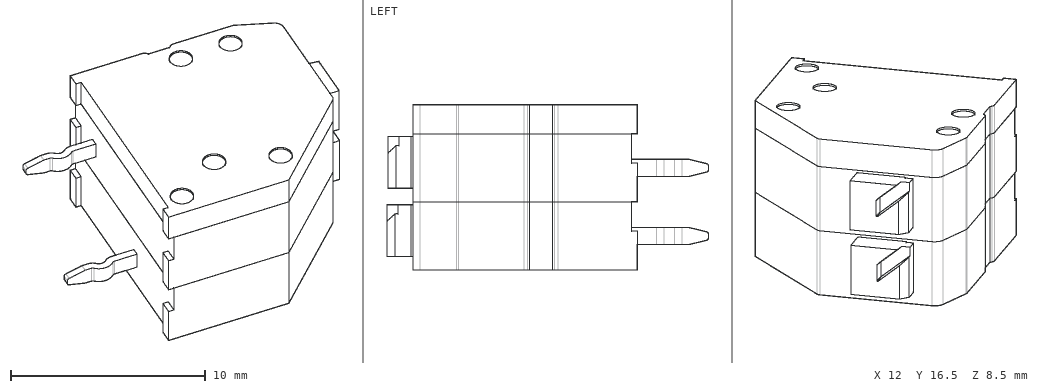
import cadquery as cq
import math

width = 12.0
depth = 11.52
module_height = 3.5
plate_height = 1.5
module_count = 2
total_height = module_count * module_height + plate_height

foot_length = 0.3
foot_width = 0.7
foot_height = 2.0

slant_start = 9.22
slant_angle = 20.0
slant_radius = 0.53
slant_root_radius = 0.3
chamfer_size = 4.72
chamfer_radius = 0.23

groove_start = 4.19
groove_end = 5.71
groove_depth = 0.16
groove_edge_radius = 0.25

dimple_diameter = 1.2
dimple_depth = 0.1
dimple_centres = [(1.19, 8.51), (1.19, 5.71), (10.1, 7.21), (9.1, 3.91), (10.8, 1.3)]

pin_left = 2.08
pin_stagger = 5.03
pin_thickness = 0.4
pin_width = 0.89
pin_end = -3.65
kink_centre = -1.63
kink_inner_radius = 0.38
kink_bend_radius = 0.56
kink_angle = 44.0
tip_length = 1.0
tip_width = 0.4
tip_radius = 0.13

button_left = 2.2
button_width = 3.0
button_height = 2.67
button_bottom = 0.7
button_length = 1.29
button_gap = 0.1
button_lip = 0.41
button_chamfer = 0.41
lower_button_shift = 0.05

slot_length = 0.58
slot_angle = 40.0
slot_mouth = 0.46
slot_top_run = 0.45
slot_reach = 1.57
slot_draft = 4.0


def make_slab(bottom, height, foot_rise):
    """One layer of the housing with its two feet rising foot_rise from its lower face."""
    slant_run = (depth - slant_start) * math.tan(math.radians(slant_angle))
    outline = [
        (0, foot_length),
        (0, groove_start),
        (groove_depth, groove_start + groove_depth),
        (groove_depth, groove_end - groove_depth),
        (0, groove_end),
        (0, slant_start),
        (slant_run, depth),
        (width - chamfer_size, depth),
        (width, depth - chamfer_size),
        (width, foot_length),
    ]
    slab = cq.Workplane("XY", origin=(0, 0, bottom)).polyline(outline).close().extrude(height)

    def upright_edge(x, y):
        return cq.selectors.NearestToPointSelector((x, y, bottom + height / 2))

    slab = slab.edges(upright_edge(0, groove_start)).fillet(groove_edge_radius)
    slab = slab.edges(upright_edge(0, groove_end)).fillet(groove_edge_radius)
    slab = slab.edges(upright_edge(0, slant_start)).fillet(slant_root_radius)
    slab = slab.edges(upright_edge(slant_run, depth)).fillet(slant_radius)
    slab = slab.edges(upright_edge(width - chamfer_size, depth)).fillet(chamfer_radius)
    for x in (0, width - foot_width):
        foot = cq.Workplane("XY").box(foot_width, foot_length, foot_rise, centered=False)
        slab = slab.union(foot.translate((x, 0, bottom)))
    return slab


def make_end_plate():
    """Top layer of the housing, with feet over its full height and dimples in its top."""
    plate = make_slab(module_count * module_height, plate_height, plate_height)
    dimples = (
        cq.Workplane("XY", origin=(0, 0, total_height))
        .pushPoints(dimple_centres)
        .circle(dimple_diameter / 2)
        .extrude(-dimple_depth)
    )
    return plate.cut(dimples)


def kink_side(offset):
    """Points of one side of the kink, offset sideways from the strip's left side."""
    angle = math.radians(kink_angle)
    inner = kink_inner_radius + offset
    bend = kink_bend_radius - offset
    sine = math.sin(angle)
    cosine = math.cos(angle)
    half_sine = math.sin(angle / 2)
    half_cosine = math.cos(angle / 2)
    reach = (inner + bend) * sine
    bulge = (inner + bend) * (1 - cosine)
    return [
        (offset, reach),
        (offset + bend * (1 - half_cosine), reach - bend * half_sine),
        (offset + bend * (1 - cosine), inner * sine),
        (offset + bulge, 0),
        (offset + bend * (1 - cosine), -inner * sine),
        (offset + bend * (1 - half_cosine), -reach + bend * half_sine),
        (offset, -reach),
    ]


def make_pin(index):
    """Solder pin of one module, rooted in the face between the feet."""
    left = kink_side(0)
    right = kink_side(pin_thickness)
    end = pin_end - kink_centre
    strip = (
        cq.Workplane("XY", origin=(0, kink_centre, -pin_width / 2))
        .moveTo(0, foot_length - kink_centre)
        .lineTo(*left[0])
        .threePointArc(left[1], left[2])
        .threePointArc(left[3], left[4])
        .threePointArc(left[5], left[6])
        .lineTo(0, end)
        .lineTo(pin_thickness, end)
        .lineTo(*right[6])
        .threePointArc(right[5], right[4])
        .threePointArc(right[3], right[2])
        .threePointArc(right[1], right[0])
        .lineTo(pin_thickness, foot_length - kink_centre)
        .close()
        .extrude(pin_width)
    )
    kink_bulge = right[3][0]
    blade = (
        cq.Workplane("YZ")
        .polyline([
            (foot_length, -pin_width / 2),
            (foot_length, pin_width / 2),
            (pin_end + tip_length, pin_width / 2),
            (pin_end, tip_width / 2),
            (pin_end, -tip_width / 2),
            (pin_end + tip_length, -pin_width / 2),
        ])
        .close()
        .extrude(kink_bulge)
        .faces("<Y").edges("|X").fillet(tip_radius)
    )
    x = pin_left + (module_count - 1 - index) * pin_stagger
    z = (index + 0.5) * module_height
    return strip.intersect(blade).translate((x, 0, z))


def make_module(index):
    """Housing module with its solder pin in one piece."""
    return make_slab(index * module_height, module_height, foot_height).union(make_pin(index))


def make_button(index):
    """Push button standing on the back face of one module."""
    shift = (module_count - 1 - index) * lower_button_shift
    length = button_length + shift
    body = (
        cq.Workplane("XY")
        .polyline([
            (button_lip, 0),
            (button_width, 0),
            (button_width, length),
            (button_chamfer, length),
            (0, length - button_chamfer),
            (0, button_gap),
            (button_lip, button_gap),
        ])
        .close()
        .extrude(button_height)
    )
    fall = math.tan(math.radians(slot_angle))
    slot = (
        cq.Workplane("XZ", origin=(0, length - slot_length, button_height))
        .polyline([
            (-slot_top_run, 2 * slot_top_run * fall),
            (slot_reach, (slot_top_run - slot_reach) * fall),
            (slot_reach, -slot_mouth - slot_reach * fall),
            (-slot_top_run, -slot_mouth + slot_top_run * fall),
        ])
        .close()
        .extrude(-2 * slot_length, taper=-slot_draft)
    )
    place = (button_left - shift, depth, index * module_height + button_bottom)
    return body.cut(slot).translate(place)


modules = [make_module(index) for index in range(module_count)]
end_plate = make_end_plate()
buttons = [make_button(index) for index in range(module_count)]

result = cq.Compound.makeCompound([
    *[module.val() for module in modules],
    end_plate.val(),
    *[button.val() for button in buttons],
])